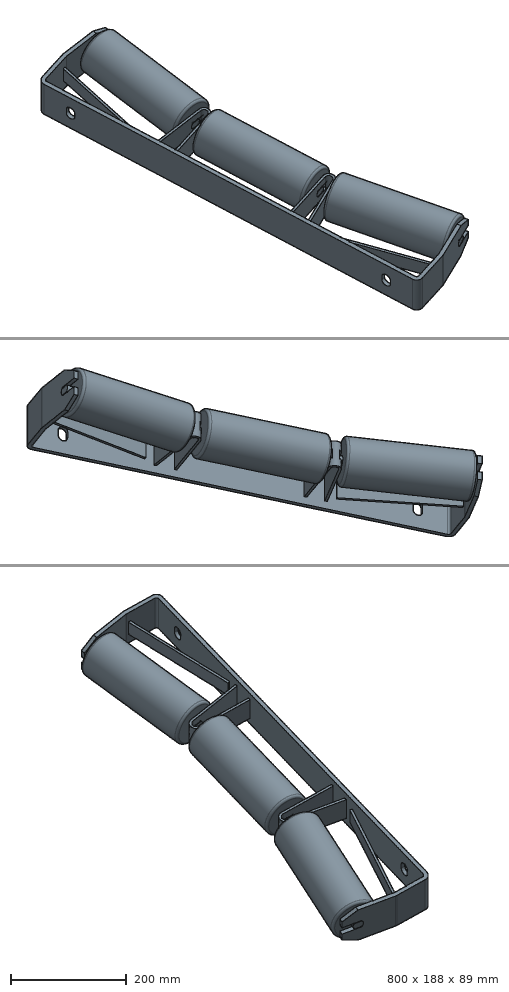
import cadquery as cq
import math

frame_length = 800.0
frame_height = 80.0
frame_thickness = 8.0
bend_radius = 13.0
end_bend_y = 74.0
end_plate_top_y = 178.0
tip_taper_length = 30.0
tip_taper_depth = 16.0
tilt = 10.0

mount_slot_spacing = 664.0
mount_slot_width = 18.0
mount_slot_height = 28.0

roller_diameter = 89.0
roller_length = 230.0
roller_edge_radius = 5.0
middle_roller_y = 100.0
outer_roller_x = 149.0
outer_roller_y = 105.0

shaft_diameter = 20.0
shaft_flat_width = 14.0
shaft_slot_width = 17.0
shaft_slot_length = 40.0
shaft_flat_lead = 2.0

bracket_height = 50.0
bracket_thickness = 5.0
bracket_face_x = 119.0
bracket_bend_radius = 12.0
bracket_bend_y = 115.0

brace_height = 32.0
brace_thickness = 5.0
brace_angle = 15.0
brace_start_y = 70.0
brace_end_x = 178.0

half_length = frame_length / 2
inner_half_length = half_length - frame_thickness
sin_tilt = math.sin(math.radians(tilt))
cos_tilt = math.cos(math.radians(tilt))
along_roller = cq.Vector(cos_tilt, sin_tilt)
up_plate = cq.Vector(-sin_tilt, cos_tilt)
inner_bend_radius = bend_radius - frame_thickness
bracket_bend = cq.Vector(bracket_face_x + bracket_bend_radius, bracket_bend_y)
bracket_outer_face = bracket_bend + along_roller * bracket_bend_radius
outer_roller_face = cq.Vector(outer_roller_x, outer_roller_y)
end_bend = cq.Vector(half_length - bend_radius, end_bend_y)
plate_outer_foot = end_bend + along_roller * bend_radius
plate_inner_foot = end_bend + along_roller * inner_bend_radius
end_plate_length = (end_plate_top_y - plate_outer_foot.y) / cos_tilt
inner_gap = along_roller.dot(outer_roller_face - bracket_outer_face)
outer_gap = along_roller.dot(plate_inner_foot - outer_roller_face) - roller_length
middle_gap = bracket_face_x - roller_length / 2


def strip(outline, height):
    """Solid strip from an edge-on outline, centred on Z = 0."""
    return outline.close().extrude(height / 2, both=True)


def mirrored(body):
    """Body joined with its mirror image across the middle plane X = 0."""
    return body.union(body.mirror("YZ"))


def point(vector):
    """Planar coordinates of a vector, for use in an outline."""
    return (vector.x, vector.y)


def across_shaft(origin, direction):
    """Workplane square to a shaft; its X points up the plate when direction runs toward +X."""
    in_plate = direction.cross(cq.Vector(0, 0, -1))
    return cq.Workplane(cq.Plane(origin.toTuple(), in_plate.toTuple(), direction.toTuple()))


def shaft_slot(origin, direction, depth):
    """Cutter for a slot with a round seat, open at the top of the plate; direction runs toward +X."""
    seat_radius = shaft_diameter / 2
    half_width = shaft_slot_width / 2
    shoulder = -math.sqrt(seat_radius ** 2 - half_width ** 2)
    return (
        across_shaft(origin, direction)
        .moveTo(shaft_slot_length, -half_width)
        .lineTo(shoulder, -half_width)
        .threePointArc((-seat_radius, 0), (shoulder, half_width))
        .lineTo(shaft_slot_length, half_width)
        .close().extrude(depth)
    )


def base_half():
    """Half of the base with its rounded corner and leaning end plate."""
    tip_outer = plate_outer_foot + up_plate * end_plate_length
    tip_inner = tip_outer - along_roller * frame_thickness
    outline = (
        cq.Workplane("XY").moveTo(0, 0)
        .lineTo(half_length - bend_radius, 0)
        .radiusArc((half_length, bend_radius), -bend_radius)
        .lineTo(half_length, end_bend_y)
        .radiusArc(point(plate_outer_foot), -bend_radius)
        .lineTo(*point(tip_outer))
        .lineTo(*point(tip_inner))
        .lineTo(*point(plate_inner_foot))
        .radiusArc((inner_half_length, end_bend_y), inner_bend_radius)
        .lineTo(inner_half_length, bend_radius)
        .radiusArc((half_length - bend_radius, frame_thickness), inner_bend_radius)
        .lineTo(0, frame_thickness)
    )
    tip_corners = (
        across_shaft(tip_inner, along_roller)
        .polyline([(-tip_taper_length, frame_height / 2), (0, frame_height / 2),
                   (0, frame_height / 2 - tip_taper_depth)])
        .close().extrude(frame_thickness)
    )
    half = strip(outline, frame_height).cut(tip_corners).cut(tip_corners.mirror("XY"))
    mount_slot = (
        cq.Workplane("XZ").center(mount_slot_spacing / 2, 0)
        .slot2D(mount_slot_height, mount_slot_width, 90).extrude(-frame_thickness)
    )
    plate_seat = outer_roller_face + along_roller * (roller_length + outer_gap)
    return half.cut(mount_slot).cut(shaft_slot(plate_seat, along_roller, frame_thickness))


def bracket():
    """Bent strip with one upright leg and one leaning leg that carry two neighbouring shafts."""
    inner_radius = bracket_bend_radius - bracket_thickness
    middle_side = cq.Vector(-1, 0)
    top = cq.Vector(0, 1)

    def on_bend(direction, radius):
        return point(bracket_bend + direction * radius)

    def foot(radius):
        start = bracket_bend + along_roller * radius
        return point(start - up_plate * (start.y / cos_tilt))

    outline = (
        cq.Workplane("XY").moveTo(bracket_face_x, 0)
        .lineTo(*on_bend(middle_side, bracket_bend_radius))
        .threePointArc(on_bend(top, bracket_bend_radius), on_bend(along_roller, bracket_bend_radius))
        .lineTo(*foot(bracket_bend_radius))
        .lineTo(*foot(inner_radius))
        .lineTo(*on_bend(along_roller, inner_radius))
        .threePointArc(on_bend(top, inner_radius), on_bend(middle_side, inner_radius))
        .lineTo(bracket_face_x + bracket_thickness, 0)
    )
    upright_seat = cq.Vector(bracket_face_x, middle_roller_y)
    leaning_seat = outer_roller_face - along_roller * (inner_gap + bracket_thickness)
    return (
        strip(outline, bracket_height)
        .cut(shaft_slot(upright_seat, cq.Vector(1, 0), bracket_thickness))
        .cut(shaft_slot(leaning_seat, along_roller, bracket_thickness))
    )


def brace():
    """Sloping strip from the end plate down to the base."""
    slope = math.tan(math.radians(brace_angle))
    drop = brace_thickness / math.cos(math.radians(brace_angle))
    end_y = brace_start_y - (inner_half_length - brace_end_x) * slope
    end_shift_x = brace_thickness * math.sin(math.radians(brace_angle))
    end_shift_y = brace_thickness * math.cos(math.radians(brace_angle))
    outline = (
        cq.Workplane("XY").moveTo(inner_half_length, brace_start_y)
        .lineTo(brace_end_x, end_y)
        .lineTo(brace_end_x + end_shift_x, end_y - end_shift_y)
        .lineTo(inner_half_length, brace_start_y - drop)
    )
    return strip(outline, brace_height)


def shaft_end(face, outward, gap, seat):
    """Shaft end that leaves a roller face round, then has two flats that reach through a plate."""
    round_length = gap - shaft_flat_lead
    round_part = across_shaft(face, outward).circle(shaft_diameter / 2).extrude(round_length)
    flat_start = face + outward * round_length
    flat_length = shaft_flat_lead + seat
    flat_part = across_shaft(flat_start, outward).circle(shaft_diameter / 2).extrude(flat_length)
    flats = across_shaft(flat_start, outward).rect(shaft_diameter, shaft_flat_width).extrude(flat_length)
    return round_part.union(flat_part.intersect(flats))


def build_roller(start, direction, start_gap, start_seat, end_gap, end_seat):
    """Roller with rounded edges and a shaft end on each face."""
    end = start + direction * roller_length
    barrel = (
        across_shaft(start, direction).circle(roller_diameter / 2).extrude(roller_length)
        .edges("%CIRCLE").fillet(roller_edge_radius)
    )
    return (
        barrel.union(shaft_end(start, direction * -1, start_gap, start_seat))
        .union(shaft_end(end, direction, end_gap, end_seat))
    )


frame = mirrored(base_half().union(bracket()).union(brace()))

middle_roller = build_roller(
    cq.Vector(-roller_length / 2, middle_roller_y), cq.Vector(1, 0),
    middle_gap, bracket_thickness, middle_gap, bracket_thickness,
)
outer_rollers = []
for side in (1, -1):
    roller_start = cq.Vector(side * outer_roller_x, outer_roller_y)
    roller_direction = cq.Vector(side * cos_tilt, sin_tilt)
    outer_rollers.append(
        build_roller(
            roller_start, roller_direction,
            inner_gap, bracket_thickness, outer_gap, frame_thickness,
        )
    )

result = cq.Compound.makeCompound(
    [frame.val(), middle_roller.val(), *[roller.val() for roller in outer_rollers]]
)